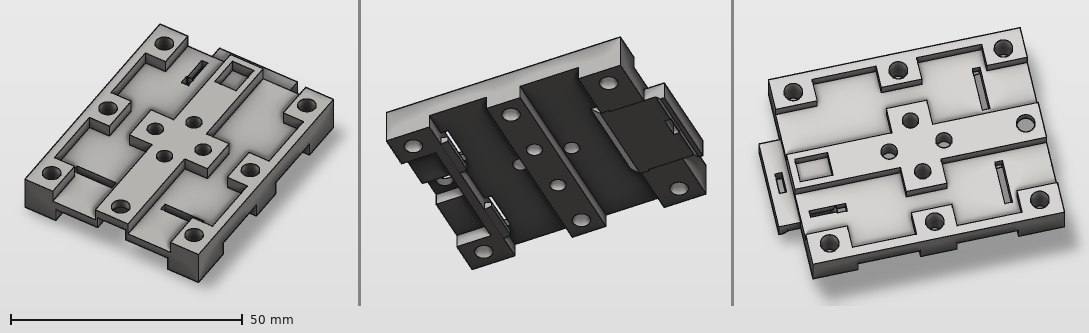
import cadquery as cq


base_width = 44.0
base_length = 55.65
base_height = 8.55
step_depth = 3.0
plate_underside = 3.4
floor_level = base_height - step_depth
center_y = base_length / 2

ridge_width = 8.3
rim_width = 2.0
pad_width = 7.1
pad_length = 8.95
rear_pad_length = 9.2
block_width = 19.8

front_foot_length = 10.2
middle_foot_length = 8.05
rear_foot_end = 45.7

pocket_width = 28.3
pocket_ridge_width = 7.1
pocket_ridge_level = 6.35
pocket_depth = 8.1

screw_diameter = 4.0
screw_x = 18.0
screw_pitch_y = 23.25
front_screw_y = 3.7
center_hole_diameter = 3.5
center_hole_radius = 6.05

window_width = 5.4
window_front = 46.9
window_back = 54.15
window_depth = 2.8

hook_width = 9.85
hook_x = 11.15
hook_reach = 1.7
hook_root_top = 2.0
hook_top_taper = 0.5
hook_bottom_taper = 0.3

latch_front = 45.45
latch_end = 60.5
latch_width = block_width
wedge_height = 2.3
lip_drop = 1.1
lip_tip = 0.95
finger_slot_width = 4.6
finger_slot_length = 1.5
finger_slot_y = 57.85

lock_slot_left = -10.05
lock_slot_right = -8.55
lock_slot_back = 53.5
lock_slot_widening = 0.25
tooth_front = 47.55
tooth_run = 1.3
trough_level = plate_underside / 2

wide_slot_left = lock_slot_left - lock_slot_widening
head_width = -2 * wide_slot_left


def box(x0, x1, y0, y1, z0, z1):
    """A block between two opposite corners."""
    return cq.Workplane("XY").box(x1 - x0, y1 - y0, z1 - z0, centered=False).translate((x0, y0, z0))


def centered_box(width, y0, y1, z0, z1):
    """A block placed evenly about the middle plane."""
    return box(-width / 2, width / 2, y0, y1, z0, z1)


def side_profile(points, x0, x1):
    """A (Y, Z) outline extruded from x0 to x1."""
    return cq.Workplane("YZ").polyline(points).close().extrude(x1 - x0).translate((x0, 0, 0))


def make_raised_areas():
    """Ridge, center block, side rims and the six screw pads."""
    raised = centered_box(ridge_width, 0, base_length, floor_level, base_height)
    block_front = center_y - pad_length / 2
    block_back = center_y + pad_length / 2
    raised = raised.union(centered_box(block_width, block_front, block_back, floor_level, base_height))
    pad_spans = [
        (0, pad_length),
        (block_front, block_back),
        (base_length - rear_pad_length, base_length),
    ]
    for left in (-base_width / 2, base_width / 2 - rim_width):
        raised = raised.union(box(left, left + rim_width, 0, base_length, floor_level, base_height))
    for left in (-base_width / 2, base_width / 2 - pad_width):
        for front, back in pad_spans:
            raised = raised.union(box(left, left + pad_width, front, back, floor_level, base_height))
    return raised


def make_feet():
    """Three cross feet with the two rail channels between them."""
    foot_spans = [
        (0, front_foot_length),
        (center_y - middle_foot_length / 2, center_y + middle_foot_length / 2),
        (rear_foot_end, base_length),
    ]
    feet = cq.Workplane("XY")
    for front, back in foot_spans:
        feet = feet.add(centered_box(base_width, front, back, 0, plate_underside))
    return feet.combine()


def make_front_pocket():
    """Stepped hollow in the front foot, reaching up into the ridge."""
    low = centered_box(pocket_width, 0, pocket_depth, 0, plate_underside)
    high = centered_box(pocket_ridge_width, 0, pocket_depth, 0, pocket_ridge_level)
    return low.union(high)


def make_holes():
    """Screw holes in the pads and the ridge, and the four center holes."""
    screw_points = [(0, front_screw_y)]
    for x in (-screw_x, screw_x):
        for row in (-1, 0, 1):
            screw_points.append((x, center_y + row * screw_pitch_y))
    screws = cq.Workplane("XY").pushPoints(screw_points).circle(screw_diameter / 2).extrude(base_height)
    centers = (
        cq.Workplane("XY")
        .center(0, center_y)
        .polarArray(center_hole_radius, 0, 360, 4)
        .circle(center_hole_diameter / 2)
        .extrude(base_height)
    )
    return screws.union(centers)


def make_lock_slot():
    """Slot through the plate for the tooth, wider in front of the tooth."""
    narrow = box(lock_slot_left, lock_slot_right, latch_front, lock_slot_back, plate_underside, floor_level)
    wide = box(wide_slot_left, lock_slot_right, latch_front, tooth_front, plate_underside, floor_level)
    return narrow.union(wide)


def make_rail_hook(x):
    """Tapered hook on the back of the front foot, centered at x."""
    root = front_foot_length
    tip = front_foot_length + hook_reach
    outline = [
        (root, 0),
        (tip, hook_bottom_taper),
        (tip, hook_root_top - hook_top_taper),
        (root, hook_root_top),
    ]
    return side_profile(outline, x - hook_width / 2, x + hook_width / 2)


def make_base():
    """Plate with its raised areas, feet, hooks and every opening."""
    base = centered_box(base_width, 0, base_length, plate_underside, floor_level)
    base = base.union(make_raised_areas()).union(make_feet())
    base = base.cut(make_front_pocket()).cut(make_holes()).cut(make_lock_slot())
    window_floor = base_height - window_depth
    base = base.cut(centered_box(window_width, window_front, window_back, window_floor, base_height))
    base = base.cut(centered_box(latch_width, rear_foot_end, base_length, 0, plate_underside))
    base = base.cut(centered_box(head_width, rear_foot_end, tooth_front, 0, plate_underside))
    for x in (-hook_x, hook_x):
        slot = box(
            x - hook_width / 2,
            x + hook_width / 2,
            front_foot_length,
            front_foot_length + hook_reach,
            plate_underside,
            floor_level,
        )
        base = base.cut(slot).union(make_rail_hook(x))
    return base


def make_latch():
    """Sliding slab with a wider wedge-nosed head, a pull lip behind and a locking tooth."""
    head_outline = [
        (latch_front, 0),
        (latch_front - wedge_height, wedge_height),
        (latch_front, wedge_height),
        (latch_front, plate_underside),
        (tooth_front, plate_underside),
        (tooth_front, 0),
    ]
    head = side_profile(head_outline, -head_width / 2, head_width / 2)
    slab_outline = [
        (tooth_front, 0),
        (tooth_front, plate_underside),
        (latch_end, plate_underside),
        (latch_end, -lip_drop),
        (latch_end - lip_tip, -lip_drop),
        (latch_end - lip_tip - lip_drop, 0),
    ]
    slab = side_profile(slab_outline, -latch_width / 2, latch_width / 2)
    trough = box(-latch_width / 2, lock_slot_right, tooth_front, lock_slot_back, trough_level, plate_underside)
    tooth_outline = [
        (tooth_front, trough_level),
        (tooth_front, floor_level),
        (tooth_front + tooth_run, trough_level),
    ]
    tooth = side_profile(tooth_outline, -latch_width / 2, lock_slot_right)
    finger_slot = centered_box(
        finger_slot_width,
        finger_slot_y - finger_slot_length / 2,
        finger_slot_y + finger_slot_length / 2,
        0,
        plate_underside,
    )
    return slab.cut(trough).union(head).union(tooth).cut(finger_slot)


base = make_base()
latch = make_latch()
result = cq.Compound.makeCompound([base.solids().val(), latch.solids().val()])